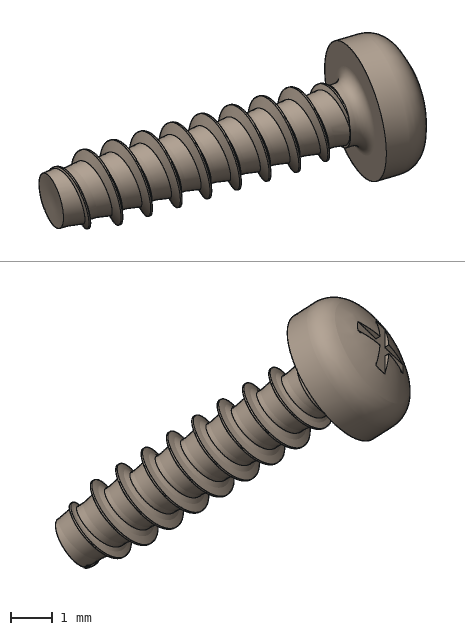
import cadquery as cq
import math

overall_length = 9.57

head_radius = 1.75
head_height = 1.57
rim_height = 0.61
shoulder_radius = 0.67

slot_width = 0.335
slot_depth = 0.12

neck_radius = 0.775
neck_fillet = 0.335
neck_length = 0.15

core_radius = 0.68
dish_radius = 0.64
dish_depth = 0.05

pitch = 0.78
outer_radius = 1.005
crest_half_width = 0.024
flank_foot_radius = 0.74
tip_flank_width = 0.115
head_flank_width = 0.13
knee_width = 0.053
knee_height = 0.4
root_taper_end = 0.555
base_radius = 0.67
least_rise = 0.01
first_crest_depth = 2.15
start_turn = -1.0
run_in_end = 1.0
run_out_start = 8.0
end_turn = 9.4
run_in_radius = 0.86
run_out_loss = 0.21
points_per_turn = 16

crown_drop = head_height - rim_height
shoulder_center_x = head_radius - shoulder_radius
crown_radius = (shoulder_center_x**2 + crown_drop**2 - shoulder_radius**2) / (2 * (crown_drop - shoulder_radius))
slot_corner_radius = slot_width / math.sqrt(2)
lost_apex = crown_radius - math.sqrt(crown_radius**2 - slot_corner_radius**2)

top_y = overall_length / 2
tip_y = -overall_length / 2
apex_y = top_y + lost_apex
seat_y = top_y - head_height
fillet_end_y = seat_y - neck_fillet
neck_end_y = fillet_end_y - neck_length


def arc_point(center, radius, angle):
    return (center[0] + radius * math.cos(angle), center[1] + radius * math.sin(angle))


def make_body():
    """Head, neck and core turned as one half outline about the Y axis."""
    rim_y = apex_y - crown_drop
    crown_center = (0, apex_y - crown_radius)
    shoulder_center = (shoulder_center_x, rim_y)
    tangent_angle = math.atan2(rim_y - crown_center[1], shoulder_center_x)
    shoulder_start = arc_point(crown_center, crown_radius, tangent_angle)
    crown_middle = arc_point(crown_center, crown_radius, (tangent_angle + math.pi / 2) / 2)
    shoulder_middle = arc_point(shoulder_center, shoulder_radius, tangent_angle / 2)
    fillet_center = (neck_radius + neck_fillet, fillet_end_y)
    fillet_middle = arc_point(fillet_center, neck_fillet, math.radians(135))
    return (
        cq.Workplane("XY")
        .moveTo(0, apex_y)
        .threePointArc(crown_middle, shoulder_start)
        .threePointArc(shoulder_middle, (head_radius, rim_y))
        .lineTo(head_radius, seat_y)
        .lineTo(neck_radius + neck_fillet, seat_y)
        .threePointArc(fillet_middle, (neck_radius, fillet_end_y))
        .lineTo(neck_radius, neck_end_y)
        .lineTo(core_radius, neck_end_y)
        .lineTo(core_radius, tip_y)
        .lineTo(dish_radius, tip_y)
        .lineTo(0, tip_y + dish_depth)
        .close()
        .revolve(360, (0, 0, 0), (0, 1, 0))
    )


def cut_cross_recess(body):
    for size_x, size_z in ((slot_width, 2 * head_radius), (2 * head_radius, slot_width)):
        slot = cq.Workplane("XY").box(size_x, 2 * slot_depth, size_z).translate((0, top_y, 0))
        body = body.cut(slot)
    return body


def crest_radius(turn):
    run_in = run_in_radius + (outer_radius - run_in_radius) * turn / run_in_end
    run_out = outer_radius - run_out_loss * (turn - run_out_start)
    return min(outer_radius, run_in, run_out)


def thread_profile(turn):
    """Axial offset towards the tip and radius of each profile corner."""
    crest = crest_radius(turn)
    foot = min(flank_foot_radius, crest - least_rise)
    share = (crest - foot) / (outer_radius - flank_foot_radius)
    knee_radius = core_radius + knee_height * (crest - core_radius)
    return [
        (-crest_half_width - head_flank_width * share, base_radius),
        (-crest_half_width - knee_width * share, knee_radius),
        (-crest_half_width, crest),
        (crest_half_width, crest),
        (crest_half_width + tip_flank_width * share, foot),
        (root_taper_end, base_radius),
    ]


def thread_point(corner, turn):
    offset, radius = thread_profile(turn)[corner]
    angle = 2 * math.pi * (turn + 0.25)
    y = top_y - first_crest_depth - pitch * turn - offset
    return cq.Vector(radius * math.cos(angle), y, radius * math.sin(angle))


def make_thread():
    """Closed skin of ruled faces between the helical corner edges, trimmed to the core."""
    steps = round((end_turn - start_turn) * points_per_turn)
    turns = [start_turn + (end_turn - start_turn) * step / steps for step in range(steps + 1)]
    corners = range(len(thread_profile(start_turn)))
    edges = [cq.Edge.makeSpline([thread_point(c, t) for t in turns], parameters=turns) for c in corners]
    faces = [cq.Face.makeRuledSurface(edges[c - 1], edges[c]) for c in corners]
    for turn in (turns[0], turns[-1]):
        outline = cq.Wire.makePolygon([thread_point(c, turn) for c in corners], close=True)
        faces.append(cq.Face.makeFromWires(outline))
    thread = cq.Solid.makeSolid(cq.Shell.makeShell(faces))
    core_length = neck_end_y - tip_y
    trim = cq.Workplane("XZ", origin=(0, neck_end_y, 0)).circle(2 * outer_radius).extrude(core_length)
    return trim.intersect(cq.Workplane(thread.fix()))


result = cut_cross_recess(make_body()).union(make_thread())